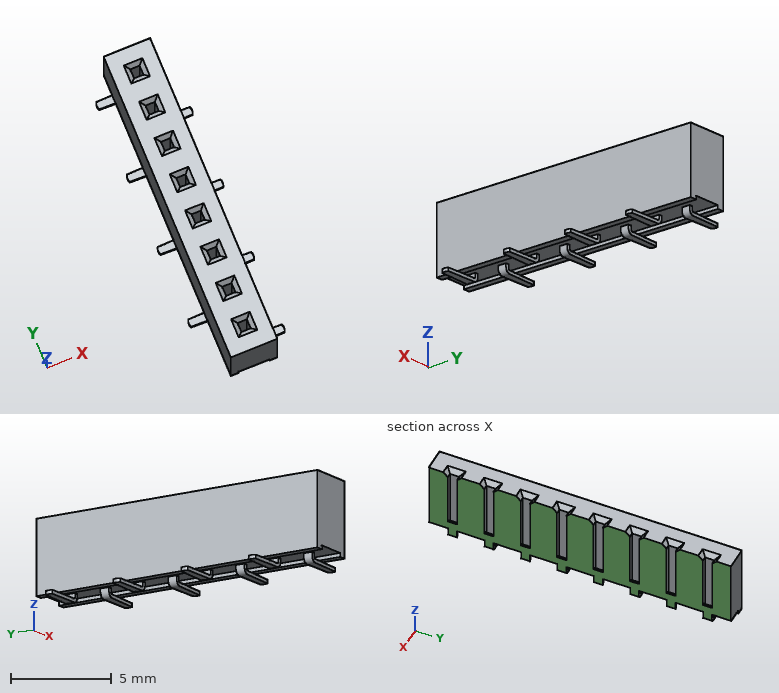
import cadquery as cq

contact_count = 8
pitch = 2.0
body_width = 2.5
body_length = 16.6
overall_height = 4.3
standoff = 0.3
foot_width = 0.42
foot_height = 0.2

socket_mouth = 1.0
socket_size = 0.5
socket_depth = 3.5
mouth_depth = (socket_mouth - socket_size) / 2

lead_span = 4.3
lead_width = 0.5
lead_thickness = 0.2
inner_bend_radius = 0.1
tip_width = 0.40
tip_bulge = 0.05
blade_rise = 0.2

body_height = overall_height - standoff
socket_floor = overall_height - socket_depth
first_contact_y = pitch * (contact_count - 1) / 2


def make_body():
    """Rectangular housing with a channel underneath that leaves two feet."""
    body = cq.Workplane("XY").box(body_width, body_length, body_height, centered=(True, True, False))
    channel_width = body_width - 2 * foot_width
    channel = cq.Workplane("XY").box(channel_width, body_length, foot_height, centered=(True, True, False))
    return body.cut(channel).translate((0, 0, standoff))


def make_socket(y):
    """Square blind hole with a tapered mouth."""
    shaft = (
        cq.Workplane("XY")
        .box(socket_size, socket_size, socket_depth, centered=(True, True, False))
        .translate((0, y, socket_floor))
    )
    mouth = (
        cq.Workplane("XY", origin=(0, y, overall_height))
        .rect(socket_mouth, socket_mouth)
        .workplane(offset=-mouth_depth)
        .rect(socket_size, socket_size)
        .loft(ruled=True)
    )
    return shaft.union(mouth)


def make_contact(y, side):
    """L-shaped strip: a blade rising into the socket, bent to a lead on the +X (1) or -X (-1) side."""
    blade_half = lead_thickness / 2
    outer_bend_radius = inner_bend_radius + lead_thickness
    bend_end = blade_half + inner_bend_radius
    tip = lead_span / 2
    blade_top = socket_floor + blade_rise
    strip = (
        cq.Workplane("XZ", origin=(0, y + lead_width / 2, 0))
        .moveTo(-side * blade_half, blade_top)
        .lineTo(-side * blade_half, outer_bend_radius)
        .radiusArc((side * bend_end, 0), -side * outer_bend_radius)
        .lineTo(side * tip, 0)
        .lineTo(side * tip, lead_thickness)
        .lineTo(side * bend_end, lead_thickness)
        .radiusArc((side * blade_half, outer_bend_radius), side * inner_bend_radius)
        .lineTo(side * blade_half, blade_top)
        .close()
        .extrude(lead_width)
    )
    plan = (
        cq.Workplane("XY", origin=(0, y, 0))
        .moveTo(-side * blade_half, -lead_width / 2)
        .lineTo(side * bend_end, -lead_width / 2)
        .lineTo(side * (tip - tip_bulge), -tip_width / 2)
        .threePointArc((side * tip, 0), (side * (tip - tip_bulge), tip_width / 2))
        .lineTo(side * bend_end, lead_width / 2)
        .lineTo(-side * blade_half, lead_width / 2)
        .close()
        .extrude(blade_top)
    )
    return strip.intersect(plan)


result = make_body()
for index in range(contact_count):
    contact_y = first_contact_y - index * pitch
    lead_side = -1 if index % 2 == 0 else 1
    result = result.cut(make_socket(contact_y)).union(make_contact(contact_y, lead_side))